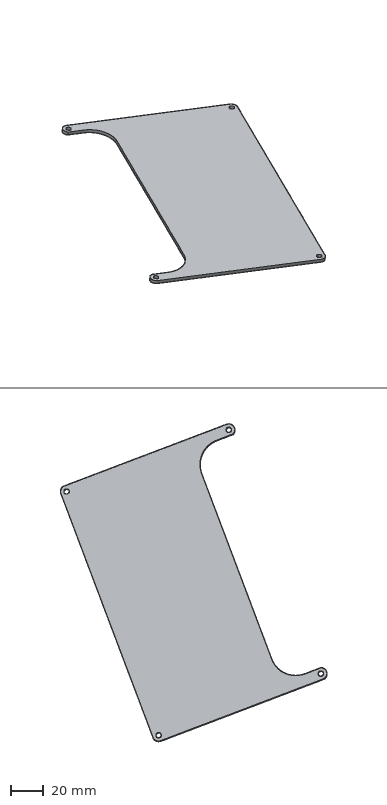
import cadquery as cq
import math

width = 171.2
length = 114.2
thickness = 2.2
tilt_angle = 5.0

leg_width = 7.2
notch_depth = 28.8
notch_radius = 16.0

corner_radius = 3.8
hole_diameter = 3.3

side_x = width / 2
back_y = length / 2
front_y = -length / 2
hole_x = side_x - corner_radius
hole_y = back_y - corner_radius


def half_plate():
    """Right half of the plate, from the centre line to the +X side."""
    inner_x = side_x - leg_width
    notch_y = front_y + notch_depth
    diagonal = corner_radius * math.sqrt(0.5)

    tip_end_y = -hole_y - math.sqrt(corner_radius**2 - (hole_x - inner_x) ** 2)

    return (
        cq.Workplane("XY")
        .moveTo(0, back_y)
        .lineTo(hole_x, back_y)
        .threePointArc((hole_x + diagonal, hole_y + diagonal), (side_x, hole_y))
        .lineTo(side_x, -hole_y)
        .threePointArc((hole_x, front_y), (inner_x, tip_end_y))
        .lineTo(inner_x, notch_y - notch_radius)
        .radiusArc((inner_x - notch_radius, notch_y), -notch_radius)
        .lineTo(0, notch_y)
        .close()
        .extrude(thickness)
    )


def corner_holes():
    return (
        cq.Workplane("XY")
        .rect(2 * hole_x, 2 * hole_y, forConstruction=True)
        .vertices()
        .circle(hole_diameter / 2)
        .extrude(thickness)
    )


right_half = half_plate()
plate = right_half.union(right_half.mirror("YZ")).clean().cut(corner_holes())
result = plate.rotate((0, 0, 0), (1, 0, 0), -tilt_angle)